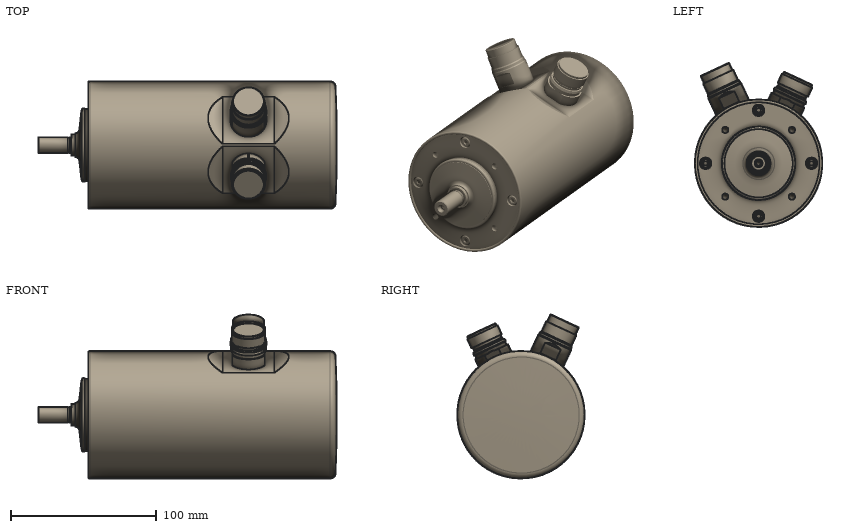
import cadquery as cq
import math


body_radius = 44.0
rear_apex_x = 170.4
rear_dome_rise = 0.9
rear_corner_radius = 4.0
rim_bead_radius = 1.0

pilot_radius = 25.0
pilot_bead_x = -4.5
pilot_bead_radius = 25.35
pilot_bead_rear_x = -3.3
pilot_front_x = -5.4
pilot_front_radius = 24.2
cone_outer_x = -5.8
cone_outer_radius = 23.5
cone_inner_x = -7.2
hub_radius = 8.3
hub_fillet_radius = 2.7
hub_front_x = -10.1
bush_radius = 7.5
bush_front_x = -12.6
bush_recess_radius = 6.5
bush_recess_depth = 1.0

shaft_radius = 5.5
shaft_tip_x = -35.6
shaft_chamfer = 0.5
groove_radius = 5.2
groove_front_x = -15.1
groove_rear_x = -13.8
shoulder_rear_x = -13.2

centre_mouth_radius = 2.75
centre_pilot_radius = 4.35 / 2
centre_drill_radius = 3.43 / 2
centre_cone_depth = 0.8
centre_pilot_depth = 4.0
centre_drill_depth = 14.0

drill_point_angle = 118.0
mount_hole_radius = 4.35 / 2
mount_hole_depth = 10.0
mount_circle_radius = 32.5
screw_circle_radius = 36.5
screw_pocket_radius = 4.0
screw_pocket_depth = 2.5
screw_head_radius = 3.5
screw_head_height = 2.0
screw_head_chamfer = 0.7
screw_socket_flats = 3.0
screw_socket_depth = 1.5

seat_x = 109.4
seat_width = 35.7
seat_ramp_run = 10.0
seat_tilt = 25.0
seat_height = math.sqrt(body_radius**2 - (seat_width / 2) ** 2)

connector_base_radius = 12.5
tall_flats = 22.0
tall_flat_bottom = 44.2
tall_flat_top = 53.6
tall_top = 71.4
short_flats = 22.6
short_flat_top = 49.3
short_keyway_width = 1.2
short_keyway_depth = 0.5
short_base_top = 47.8
short_top = 64.6
cap_radius = 10.8
cap_chamfer = 0.3


def revolve_profile(points, axis_end):
    return cq.Workplane("XY").polyline(points).close().revolve(360, (0, 0), axis_end)


def place_on_face(solid, radius, angle):
    """Move a feature built along +X from the origin onto the mounting face."""
    return solid.translate((0, 0, radius)).rotate((0, 0, 0), (1, 0, 0), angle)


def make_housing_blank():
    """Housing, pilot, hub and shaft turned as one profile."""
    root_half = math.sqrt(0.5)
    cone_inner_radius = hub_radius + hub_fillet_radius
    hub_fillet_mid_x = cone_inner_x - hub_fillet_radius * (1 - root_half)
    hub_fillet_mid_radius = cone_inner_radius - hub_fillet_radius * root_half
    rear_rim_x = rear_apex_x - rear_dome_rise
    rear_corner_inset = rear_corner_radius * (1 - root_half)
    rear_flat_radius = body_radius - rear_corner_radius
    dome_radius = (rear_flat_radius**2 + rear_dome_rise**2) / (2 * rear_dome_rise)
    dome_mid_x = rear_apex_x - dome_radius + math.sqrt(dome_radius**2 - (rear_flat_radius / 2) ** 2)
    return (
        cq.Workplane("XY")
        .moveTo(shaft_tip_x, 0)
        .lineTo(shaft_tip_x, shaft_radius - shaft_chamfer)
        .lineTo(shaft_tip_x + shaft_chamfer, shaft_radius)
        .lineTo(groove_front_x, shaft_radius)
        .lineTo(groove_front_x, groove_radius)
        .lineTo(groove_rear_x, groove_radius)
        .lineTo(groove_rear_x, shaft_radius)
        .lineTo(shoulder_rear_x, shaft_radius)
        .lineTo(shoulder_rear_x, groove_radius)
        .lineTo(bush_front_x + bush_recess_depth, groove_radius)
        .lineTo(bush_front_x + bush_recess_depth, bush_recess_radius)
        .lineTo(bush_front_x, bush_recess_radius)
        .lineTo(bush_front_x, bush_radius)
        .lineTo(hub_front_x, bush_radius)
        .lineTo(hub_front_x, hub_radius)
        .lineTo(cone_inner_x - hub_fillet_radius, hub_radius)
        .threePointArc((hub_fillet_mid_x, hub_fillet_mid_radius), (cone_inner_x, cone_inner_radius))
        .lineTo(cone_outer_x, cone_outer_radius)
        .lineTo(pilot_front_x, cone_outer_radius)
        .lineTo(pilot_front_x, pilot_front_radius)
        .threePointArc((pilot_bead_x, pilot_bead_radius), (pilot_bead_rear_x, pilot_radius))
        .lineTo(0, pilot_radius)
        .lineTo(0, body_radius - 2 * rim_bead_radius)
        .threePointArc((-rim_bead_radius, body_radius - rim_bead_radius), (0, body_radius))
        .lineTo(rear_rim_x - rear_corner_radius, body_radius)
        .threePointArc(
            (rear_rim_x - rear_corner_inset, body_radius - rear_corner_inset),
            (rear_rim_x, rear_flat_radius),
        )
        .threePointArc((dome_mid_x, rear_flat_radius / 2), (rear_apex_x, 0))
        .close()
        .revolve(360, (0, 0), (1, 0))
    )


def make_centre_hole():
    """Countersunk stepped hole with a drill point, in the shaft tip."""
    point_depth = centre_drill_radius / math.tan(math.radians(drill_point_angle / 2))
    depth_and_radius = [
        (0, 0),
        (0, centre_mouth_radius),
        (centre_cone_depth, centre_pilot_radius),
        (centre_pilot_depth, centre_pilot_radius),
        (centre_pilot_depth, centre_drill_radius),
        (centre_drill_depth, centre_drill_radius),
        (centre_drill_depth + point_depth, 0),
    ]
    return revolve_profile(depth_and_radius, (1, 0)).translate((shaft_tip_x, 0, 0))


def make_mount_hole():
    """Blind drilled hole with a conical end."""
    point_depth = mount_hole_radius / math.tan(math.radians(drill_point_angle / 2))
    depth_and_radius = [
        (0, 0),
        (0, mount_hole_radius),
        (mount_hole_depth, mount_hole_radius),
        (mount_hole_depth + point_depth, 0),
    ]
    return revolve_profile(depth_and_radius, (1, 0))


def make_screw_pocket():
    """Counterbore around a chamfered screw head with a hexagon socket."""
    head_top = screw_pocket_depth - screw_head_height
    socket_width = screw_socket_flats / math.cos(math.pi / 6)
    pocket = cq.Workplane("YZ").circle(screw_pocket_radius).extrude(screw_pocket_depth)
    head = (
        cq.Workplane("YZ", origin=(head_top, 0, 0))
        .circle(screw_head_radius)
        .extrude(screw_head_height)
        .faces("<X")
        .chamfer(screw_head_chamfer)
    )
    socket = (
        cq.Workplane("YZ", origin=(head_top, 0, 0))
        .polygon(6, socket_width)
        .extrude(screw_socket_depth)
        .rotate((0, 0, 0), (1, 0, 0), 90)
    )
    return pocket.cut(head).union(socket)


def make_seat_cutter(tilt):
    """Flat-bottomed cut across the housing crown with a ramp at each end."""
    ramp_slope = seat_ramp_run / (body_radius - seat_height)
    cutter_height = 2 * (body_radius - seat_height)
    half_floor = seat_width / 2
    half_mouth = half_floor + ramp_slope * cutter_height
    return (
        cq.Workplane("XZ")
        .moveTo(seat_x - half_floor, seat_height)
        .lineTo(seat_x + half_floor, seat_height)
        .lineTo(seat_x + half_mouth, seat_height + cutter_height)
        .lineTo(seat_x - half_mouth, seat_height + cutter_height)
        .close()
        .extrude(body_radius / 2, both=True)
        .rotate((0, 0, 0), (1, 0, 0), tilt)
    )


def make_motor():
    motor = make_housing_blank().cut(make_centre_hole())
    for quarter in range(4):
        motor = motor.cut(place_on_face(make_screw_pocket(), screw_circle_radius, 90 * quarter))
        motor = motor.cut(place_on_face(make_mount_hole(), mount_circle_radius, 45 + 90 * quarter))
    for tilt in (-seat_tilt, seat_tilt):
        motor = motor.cut(make_seat_cutter(tilt))
    return motor


def make_connector(radius_and_height, flats, flat_bottom, flat_top):
    """Turned connector with two wrench flats facing along X, standing along Z."""
    profile = [(0, seat_height), (connector_base_radius, seat_height)] + radius_and_height
    profile.append((0, radius_and_height[-1][1]))
    connector = revolve_profile(profile, (0, 1)).rotate((0, 0, 0), (1, 0, 0), 90)
    shelf = connector_base_radius - flats / 2
    for side in (-1, 1):
        flat_cut = (
            cq.Workplane("XZ")
            .moveTo(side * flats / 2, flat_bottom)
            .lineTo(side * flats / 2, flat_top - shelf)
            .lineTo(side * connector_base_radius, flat_top)
            .lineTo(side * connector_base_radius, flat_bottom)
            .close()
            .extrude(connector_base_radius, both=True)
        )
        connector = connector.cut(flat_cut)
    return connector


def place_connector(connector, tilt):
    """Move an upright connector over its seat and lean it about the motor axis."""
    return connector.translate((seat_x, 0, 0)).rotate((0, 0, 0), (1, 0, 0), tilt)


def make_tall_connector():
    """Connector with a chamfered base shoulder and a collar below the sleeve."""
    radius_and_height = [
        (connector_base_radius, 54.9),
        (12.1, 55.6),
        (12.1, 57.3),
        (11.5, 58.1),
        (11.5, 65.8),
        (cap_radius, 65.8),
        (cap_radius, tall_top - cap_chamfer),
        (cap_radius - cap_chamfer, tall_top),
    ]
    connector = make_connector(radius_and_height, tall_flats, tall_flat_bottom, tall_flat_top)
    return place_connector(connector, -seat_tilt)


def make_short_connector():
    """Connector with a ribbed neck and a keyway down the base, facing the other connector."""
    radius_and_height = [
        (connector_base_radius, short_base_top),
        (11.5, short_base_top),
        (11.5, 50.3),
        (12.3, 50.8),
        (11.7, 52.5),
        (10.8, 52.5),
        (10.8, 53.8),
        (10.575, 53.8),
        (10.575, 55.9),
        (11.55, 55.9),
        (11.55, 62.8),
        (cap_radius, 62.8),
        (cap_radius, short_top - cap_chamfer),
        (cap_radius - cap_chamfer, short_top),
    ]
    keyway = (
        cq.Workplane("XY", origin=(0, connector_base_radius, seat_height))
        .rect(short_keyway_width, 2 * short_keyway_depth)
        .extrude(short_base_top - seat_height)
    )
    connector = make_connector(radius_and_height, short_flats, seat_height, short_flat_top)
    return place_connector(connector.cut(keyway), seat_tilt)


motor = make_motor()
tall_connector = make_tall_connector()
short_connector = make_short_connector()

result = cq.Compound.makeCompound([motor.val(), tall_connector.val(), short_connector.val()])